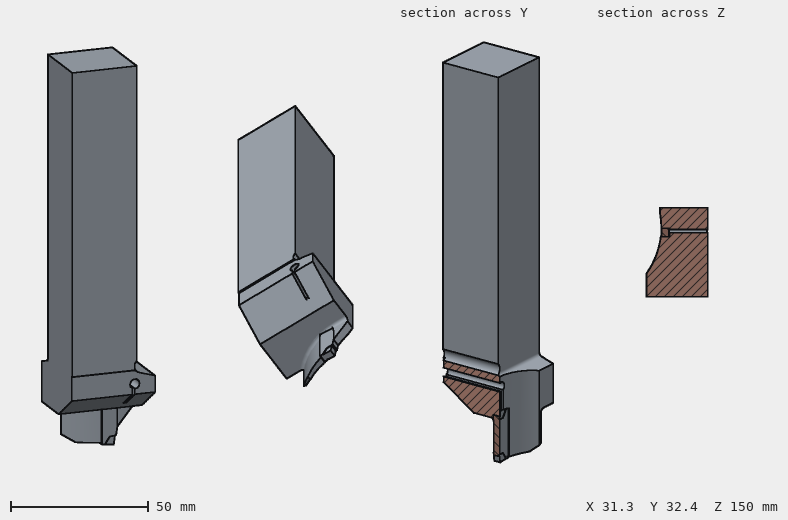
import cadquery as cq
import math


tool_length = 150.0
shank_size = 25.0

head_overhang = 6.3
head_back = 32.4
head_side = shank_size - 0.5
head_bottom = 16.6
bevel_start_x = 11.0
bevel_top = 25.5
side_step_z = 34.6
shoulder_corner_z = 33.9
shoulder_angle = 17.0
shoulder_fillet = 1.5

undercut_top_z = 38.2
undercut_mid_z = 36.3
undercut_depth = 0.9
rear_shoulder_start = shank_size + 1.2

inner_radius = 28.5
inner_vertex_x = -0.9
inner_center_y = 25.2
outer_radius = 27.6
outer_vertex_x = 2.1
outer_center_y = 27.3
flank_x = -1.4
blade_bottom = 0.9
blade_slope_top = 3.5
blade_slope_end_y = 11.7
jaw_front_z = 6.8
jaw_back_z = 14.2
blade_fillet = 1.4

slot_front_y = 23.4
slot_back_y = 24.5
slot_hole_radius = 1.8
slot_hole_y = 24.5
slot_hole_z = 29.4

insert_length = 20.2
insert_left_x = -0.9
insert_width = 3.0
insert_seat_y = 20.2
insert_land_y = 26.2
insert_rake_y = 25.4
insert_tip_y = 24.9
end_clearance = 0.5
rake_height = 3.3
ramp_height = 3.8
ramp_y = 25.8
land_height = 6.8
relief_depth = 0.2
relief_seat_y = 21.5
relief_mid_y = 22.2
relief_mid_z = 1.6
relief_top_y = 23.4

margin = 1.5

head_left = -head_overhang
stock_left = head_left - margin
shoulder_slope = math.tan(math.radians(shoulder_angle))
insert_right_x = insert_left_x + insert_width
inner_center_x = inner_vertex_x - inner_radius
outer_center_x = outer_vertex_x - outer_radius


def arc_x(center_x, center_y, radius, y):
    """X of the +X half of a circle at a given Y."""
    return center_x + math.sqrt(radius**2 - (y - center_y) ** 2)


def arc_front_y(center_x, center_y, radius, x):
    """Y of the -Y half of a circle at a given X."""
    return center_y - math.sqrt(radius**2 - (x - center_x) ** 2)


inner_front_y = arc_front_y(inner_center_x, inner_center_y, inner_radius, head_left)
outer_front_y = arc_front_y(outer_center_x, outer_center_y, outer_radius, head_left)
inner_back_y = inner_center_y + math.sqrt(inner_radius**2 - (flank_x - inner_center_x) ** 2)


def prism_along_x(outline, x_start, x_end):
    """Solid with a (Y, Z) outline between two X positions."""
    return cq.Workplane("YZ", origin=(x_start, 0, 0)).polyline(outline).close().extrude(x_end - x_start)


def shank_and_head():
    """Shank and head in one side outline, with the shoulder fillet at the foot of the shank."""
    shoulder_end_z = shoulder_corner_z + stock_left * shoulder_slope
    outline = [
        (0, tool_length),
        (shank_size, tool_length),
        (shank_size, side_step_z),
        (head_side, side_step_z),
        (head_side, bevel_top),
        (bevel_start_x, head_bottom),
        (stock_left, head_bottom),
        (stock_left, shoulder_end_z),
        (0, shoulder_corner_z),
    ]
    body = cq.Workplane("XZ").polyline(outline).close().extrude(-head_back)
    corner = cq.selectors.BoxSelector(
        (-margin / 2, -margin, shoulder_corner_z - margin / 2),
        (margin / 2, head_back + margin, shoulder_corner_z + margin / 2),
        boundingbox=False,
    )
    return body.edges(corner).fillet(shoulder_fillet)


def rear_clearance():
    """Material removed behind the shank: undercut first, then the sloped rear shoulder."""
    rear_start_z = shoulder_corner_z - (rear_shoulder_start - shank_size) * shoulder_slope
    rear_end_y = head_back + margin
    rear_end_z = shoulder_corner_z - (rear_end_y - shank_size) * shoulder_slope
    return (
        cq.Workplane("YZ", origin=(stock_left, 0, 0))
        .moveTo(shank_size, tool_length + margin)
        .lineTo(shank_size, undercut_top_z)
        .threePointArc((shank_size - undercut_depth, undercut_mid_z), (rear_shoulder_start, rear_start_z))
        .lineTo(rear_end_y, rear_end_z)
        .lineTo(rear_end_y, tool_length + margin)
        .close()
        .extrude(shank_size + margin - stock_left)
    )


def concave_clearance():
    """Material removed on the -X side of the head: front flat, concave face and the flat behind it."""
    return (
        cq.Workplane("XY")
        .moveTo(head_left, inner_front_y)
        .threePointArc((inner_vertex_x, inner_center_y), (flank_x, inner_back_y))
        .lineTo(flank_x, head_back + margin)
        .lineTo(stock_left, head_back + margin)
        .lineTo(stock_left, -margin)
        .lineTo(head_left, -margin)
        .close()
        .extrude(shoulder_corner_z + margin)
    )


def blade():
    """Curved blade and clamping jaw hanging below the head."""
    stock_front_y = arc_front_y(outer_center_x, outer_center_y, outer_radius, stock_left)
    middle_y = (outer_front_y + outer_center_y) / 2
    outer_middle_x = arc_x(outer_center_x, outer_center_y, outer_radius, middle_y)
    plan = (
        cq.Workplane("XY")
        .moveTo(stock_left, stock_front_y)
        .threePointArc((outer_middle_x, middle_y), (outer_vertex_x, outer_center_y))
        .lineTo(outer_vertex_x, head_back)
        .lineTo(stock_left, head_back)
        .close()
        .extrude(head_bottom)
    )
    slope = (blade_slope_top - blade_bottom) / (blade_slope_end_y - outer_front_y)
    slope_start_z = blade_bottom + slope * (blade_slope_end_y - stock_front_y)
    side_outline = [
        (stock_front_y, head_bottom),
        (stock_front_y, slope_start_z),
        (blade_slope_end_y, blade_bottom),
        (insert_seat_y, blade_bottom),
        (insert_seat_y, jaw_front_z),
        (insert_land_y, jaw_front_z),
        (head_back, jaw_back_z),
        (head_back, head_bottom),
    ]
    return plan.intersect(prism_along_x(side_outline, stock_left, outer_vertex_x))


def blade_root_edges():
    """Selects the edges where the outer face of the blade meets the underside of the head."""
    return cq.selectors.BoxSelector(
        (stock_left + margin / 2, outer_front_y, head_bottom - margin / 2),
        (outer_vertex_x + margin / 2, head_back - margin / 2, head_bottom + margin / 2),
        boundingbox=False,
    )


def clamping_slot():
    """Narrow slot above the insert, ending in a round hole, through the whole head."""
    slot_bottom_z = insert_length - end_clearance
    slot = prism_along_x(
        [
            (slot_front_y, slot_bottom_z),
            (slot_back_y, slot_bottom_z),
            (slot_back_y, slot_hole_z),
            (slot_front_y, slot_hole_z),
        ],
        head_left,
        shank_size,
    )
    hole = (
        cq.Workplane("YZ", origin=(head_left, 0, 0))
        .center(slot_hole_y, slot_hole_z)
        .circle(slot_hole_radius)
        .extrude(shank_size + head_overhang)
    )
    return slot.union(hole)


def mirrored_ends(lower_points):
    """Repeats (Y, Z) points of the lower insert end at the upper end, in reverse order."""
    return [(y, insert_length - z) for y, z in reversed(lower_points)]


def insert_outline():
    """(Y, Z) outline of the insert, shared by its pocket."""
    lower_end = [
        (insert_seat_y, end_clearance),
        (insert_tip_y, 0),
        (insert_rake_y, rake_height),
        (ramp_y, ramp_height),
        (insert_land_y, land_height),
    ]
    return lower_end + mirrored_ends(lower_end)


def insert_pocket():
    """Seat for the insert, open on the concave -X side."""
    return prism_along_x(insert_outline(), head_left, insert_right_x)


def make_insert():
    """Insert with shallow side reliefs at both cutting ends."""
    body = prism_along_x(insert_outline(), insert_left_x, insert_right_x)
    lower_relief = [
        (relief_seat_y, -margin),
        (relief_seat_y, end_clearance),
        (relief_mid_y, relief_mid_z),
        (relief_top_y, rake_height),
        (insert_land_y, rake_height),
        (insert_land_y, -margin),
    ]
    for outline in (lower_relief, mirrored_ends(lower_relief)):
        body = body.cut(prism_along_x(outline, insert_left_x, insert_left_x + relief_depth))
        body = body.cut(prism_along_x(outline, insert_right_x - relief_depth, insert_right_x))
    return body


def make_holder():
    """Tool holder: shank, head and blade with the insert pocket and clamping slot."""
    body = shank_and_head().cut(rear_clearance()).union(blade())
    body = body.edges(blade_root_edges()).fillet(blade_fillet)
    body = body.cut(concave_clearance())
    return body.cut(clamping_slot()).cut(insert_pocket())


holder = make_holder()
cutting_insert = make_insert()

result = cq.Compound.makeCompound([holder.val(), cutting_insert.val()])